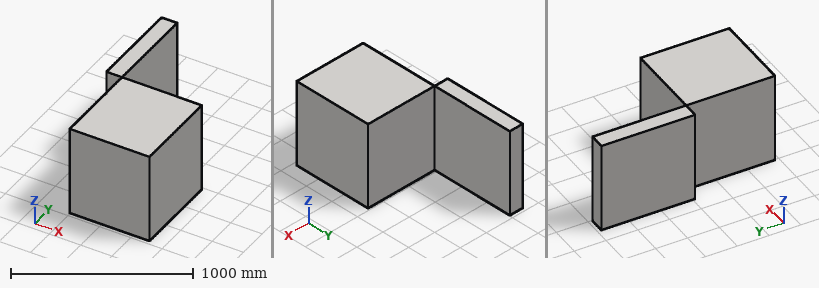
import cadquery as cq

total_width = 610.0
total_depth = 1150.0
height = 570.0

panel_thickness = 100.0
panel_depth = 590.0

block_width = total_width - panel_thickness
block_depth = total_depth - panel_depth


def make_block():
    """Plain block with its rear left vertical edge on the Z axis."""
    return cq.Workplane("XY").box(block_width, block_depth, height, centered=False).translate(
        (0, -block_depth, 0)
    )


def make_panel():
    """Plain upright panel with its front right vertical edge on the Z axis."""
    return cq.Workplane("XY").box(panel_thickness, panel_depth, height, centered=False).translate(
        (-panel_thickness, 0, 0)
    )


block = make_block()
panel = make_panel()

result = cq.Compound.makeCompound([block.val(), panel.val()])